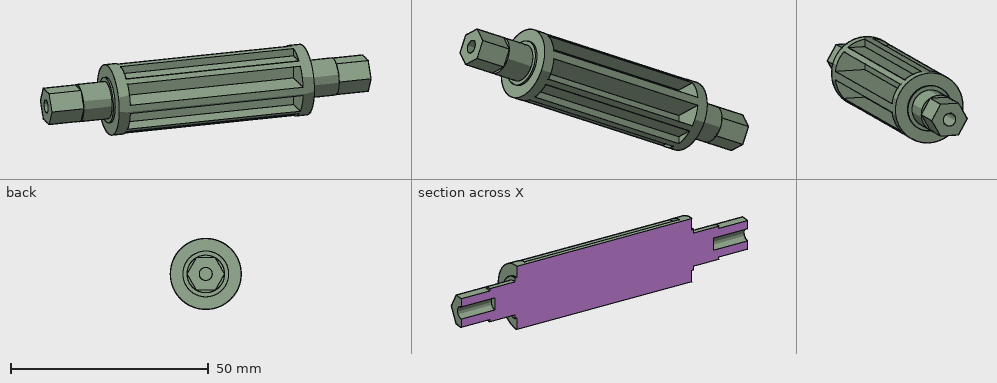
import cadquery as cq

total_length = 85.0
body_length = 52.0
slot_length = 46.0
hex_length = 8.5
collar_height = 0.5

body_diameter = 18.0
collar_diameter = 11.6
shaft_diameter = 9.5
hex_corner_diameter = 9.5
end_hole_diameter = 3.3
end_hole_depth = 10.0

rib_thickness = 2.2
upper_slot_outer_wall = 5.55
upper_slot_floor = 7.0
side_slot_ceiling = 6.0

body_radius = body_diameter / 2
rib_face = rib_thickness / 2
shaft_length = total_length - 2 * hex_length
collar_length = body_length + 2 * collar_height


def along_y(length):
    """Workplane normal to Y whose extrusion by length is centred on the origin."""
    return cq.Workplane("XZ", origin=(0, length / 2, 0))


def rod(diameter, length):
    return along_y(length).circle(diameter / 2).extrude(length)


def make_spindle():
    """Roller body, thin collars, round shaft and hexagonal ends in one piece."""
    hexagon = along_y(total_length).polygon(6, hex_corner_diameter).extrude(total_length)
    shaft = rod(shaft_diameter, shaft_length)
    collars = rod(collar_diameter, collar_length)
    return rod(body_diameter, body_length).union(collars).union(shaft).union(hexagon)


def slot_box(x_range, z_range):
    x_min, x_max = x_range
    z_min, z_max = z_range
    box = cq.Workplane("XY").box(x_max - x_min, slot_length, z_max - z_min)
    return box.translate(((x_min + x_max) / 2, 0, (z_min + z_max) / 2))


def cut_slots(part):
    """Cut an upper and a side slot, mirrored into all four quadrants."""
    upper = slot_box((rib_face, upper_slot_outer_wall), (upper_slot_floor, body_radius))
    side = slot_box((rib_face, body_radius), (rib_face, side_slot_ceiling))
    quadrant = upper.union(side)
    half = quadrant.union(quadrant.mirror("YZ"))
    return part.cut(half).cut(half.mirror("XY"))


def drill_ends(part):
    """Drill a blind axial hole into each hexagonal end."""
    core_length = total_length - 2 * end_hole_depth
    holes = rod(end_hole_diameter, total_length).cut(rod(end_hole_diameter, core_length))
    return part.cut(holes)


result = drill_ends(cut_slots(make_spindle()))